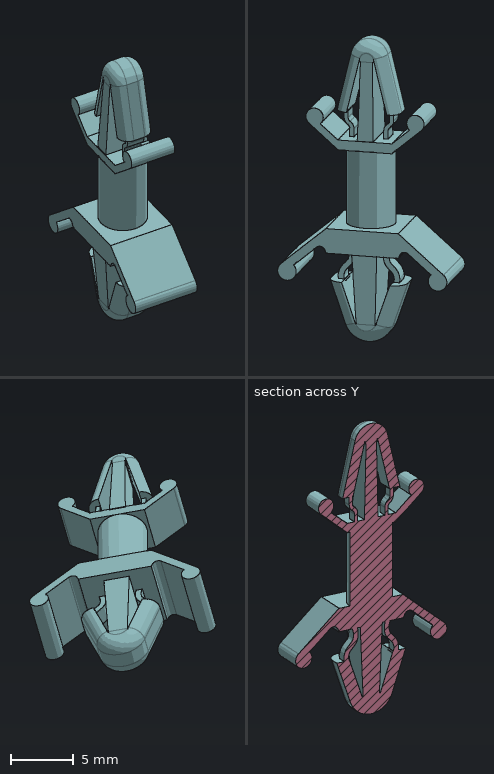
import cadquery as cq
import math

total_height = 25.1
lower_plate_bottom = 7.68
lower_plate_top = 9.75
upper_plate_bottom = 16.1
upper_plate_top = 16.92

post_diameter = 4.0
upper_depth = post_diameter
lower_depth = 5.7

upper_flat_half = 2.23
upper_arm_thickness = 0.63
upper_tip_radius = 0.73
upper_tip_x = 4.17
upper_tip_z = 18.7

lower_flat_half = 2.99
lower_arm_thickness = 0.73
lower_tip_radius = 0.78
lower_tip_x = 6.22
lower_tip_z = 5.97
notch_wall_angle = math.radians(67)
notch_radius = 0.43

overlap = 0.13


def tangent_slope(start, centre, radius):
    """Slope angle of the line from start that passes outside a circle and touches it."""
    run = centre[0] - start[0]
    rise = abs(centre[1] - start[1])
    return math.atan2(rise, run) - math.asin(radius / math.hypot(run, rise))


def extrude_along_y(profile, depth):
    return profile.extrude(depth / 2, both=True)


def with_mirror(half):
    return half.union(half.mirror("YZ"))


def round_tip(x, z, radius, depth):
    return extrude_along_y(cq.Workplane("XZ").center(x, z).circle(radius), depth)


def upper_plate():
    corner = (upper_flat_half, upper_plate_bottom)
    centre = (upper_tip_x, upper_tip_z)
    slope = tangent_slope(corner, centre, upper_tip_radius)
    touch_x = upper_tip_x + upper_tip_radius * math.sin(slope)
    touch_z = upper_tip_z - upper_tip_radius * math.cos(slope)
    inner_x = touch_x - upper_arm_thickness * math.sin(slope)
    inner_z = touch_z + upper_arm_thickness * math.cos(slope)
    outline = (
        cq.Workplane("XZ")
        .moveTo(0, upper_plate_bottom)
        .lineTo(*corner)
        .lineTo(touch_x, touch_z)
        .lineTo(inner_x, inner_z)
        .lineTo(upper_flat_half, upper_plate_top)
        .lineTo(0, upper_plate_top)
        .close()
    )
    half = extrude_along_y(outline, upper_depth)
    half = half.union(round_tip(*centre, upper_tip_radius, upper_depth))
    return with_mirror(half)


def lower_plate():
    corner = (lower_flat_half, lower_plate_top)
    centre = (lower_tip_x, lower_tip_z)
    slope = tangent_slope(corner, centre, lower_tip_radius)
    touch_x = lower_tip_x + lower_tip_radius * math.sin(slope)
    touch_z = lower_tip_z + lower_tip_radius * math.cos(slope)
    inner_x = touch_x - lower_arm_thickness * math.sin(slope)
    inner_z = touch_z - lower_arm_thickness * math.cos(slope)

    arm_z_at_wall_foot = inner_z + (inner_x - lower_flat_half) * math.tan(slope)
    wall_run = (arm_z_at_wall_foot - lower_plate_bottom) / (math.tan(notch_wall_angle) + math.tan(slope))
    notch_x = lower_flat_half + wall_run
    notch_z = lower_plate_bottom + wall_run * math.tan(notch_wall_angle)

    outline = (
        cq.Workplane("XZ")
        .moveTo(0, lower_plate_top)
        .lineTo(*corner)
        .lineTo(touch_x, touch_z)
        .lineTo(inner_x, inner_z)
        .lineTo(notch_x, notch_z)
        .lineTo(lower_flat_half, lower_plate_bottom)
        .lineTo(0, lower_plate_bottom)
        .close()
    )
    half = extrude_along_y(outline, lower_depth)
    notch_edge = cq.selectors.NearestToPointSelector((notch_x, 0, notch_z))
    half = half.edges("|Y").edges(notch_edge).fillet(notch_radius)
    half = half.union(round_tip(*centre, lower_tip_radius, lower_depth))
    return with_mirror(half)



def barbed_arch(height, radius, thickness, half_depth, angle, leg_end):
    """Round nose with two spreading legs, cut level at leg_end; outer corners fully rounded."""
    centre_z = height - radius
    inner_radius = radius - thickness
    bend_x = inner_radius * math.cos(angle)
    bend_z = centre_z + inner_radius * math.sin(angle)
    start_z = leg_end - thickness
    start_x = bend_x + (bend_z - start_z) * math.tan(angle)
    path = (
        cq.Workplane("XZ")
        .moveTo(-start_x, start_z)
        .lineTo(-bend_x, bend_z)
        .threePointArc((0, centre_z + inner_radius), (bend_x, bend_z))
        .lineTo(start_x, start_z)
    )
    section_plane = cq.Plane(
        origin=(-start_x, 0, start_z),
        xDir=(0, 1, 0),
        normal=(math.sin(angle), 0, math.cos(angle)),
    )
    flat_half = half_depth - thickness
    mid_y = flat_half + thickness * math.sqrt(0.5)
    mid_out = thickness * math.sqrt(0.5)
    arch = (
        cq.Workplane(section_plane)
        .moveTo(-half_depth, 0)
        .lineTo(half_depth, 0)
        .threePointArc((mid_y, mid_out), (flat_half, thickness))
        .lineTo(-flat_half, thickness)
        .threePointArc((-mid_y, mid_out), (-half_depth, 0))
        .close()
        .sweep(path)
    )
    keep_size = 2 * height
    keep = cq.Workplane("XY", origin=(0, 0, leg_end))
    keep = keep.rect(keep_size, keep_size).extrude(keep_size)
    return arch.intersect(keep)


def arch_fill(height, radius, thickness, half_depth, fill_bottom):
    """Solid core closing the inside of the nose above fill_bottom."""
    inner_radius = radius - thickness
    core = cq.Workplane("XZ").center(0, height - radius).circle(inner_radius)
    core = extrude_along_y(core, 2 * half_depth)
    inner_width = 2 * inner_radius
    block = cq.Workplane("XY", origin=(0, 0, fill_bottom))
    block = block.rect(inner_width, 2 * half_depth).extrude(height - fill_bottom)
    return core.intersect(block)


def tapered_web(base_size, top_size, top_z):
    return (
        cq.Workplane("XY")
        .rect(*base_size)
        .workplane(offset=top_z)
        .rect(*top_size)
        .loft()
    )


def spring_strips(path, start, thickness, width):
    """Bent strip on each side, swept upward from start along a path in the XZ plane."""
    strip = cq.Workplane("XY", origin=(start[0], 0, start[1])).rect(thickness, width).sweep(path)
    return with_mirror(strip)


def upper_clip():
    height = total_height - upper_plate_top
    nose_radius = 1.55
    thickness = 0.98
    half_depth = 1.48
    leg_angle = math.radians(13.5)
    leg_end = 2.18
    fill_bottom = 6.48
    web_base = (1.3, 3.87)
    web_top = (1.0, 2 * half_depth)
    clip = barbed_arch(height, nose_radius, thickness, half_depth, leg_angle, leg_end)
    clip = clip.union(arch_fill(height, nose_radius, thickness, half_depth, fill_bottom))
    clip = clip.union(tapered_web(web_base, web_top, fill_bottom))

    strip_thickness = 0.35
    strip_width = 1.5
    strip_foot_x = 1.4
    strip_head_x = 1.88
    bend_start = 0.68
    bend_end = 1.55
    start = (strip_foot_x, -overlap)
    bend_middle = ((strip_foot_x + strip_head_x) / 2, (bend_start + bend_end) / 2)
    path = (
        cq.Workplane("XZ")
        .moveTo(*start)
        .lineTo(strip_foot_x, bend_start)
        .tangentArcPoint(bend_middle, relative=False)
        .tangentArcPoint((strip_head_x, bend_end), relative=False)
        .lineTo(strip_head_x, leg_end + overlap)
    )
    return clip.union(spring_strips(path, start, strip_thickness, strip_width))


def lower_clip():
    height = lower_plate_bottom
    nose_radius = 2.05
    thickness = 1.15
    half_depth = 1.78
    leg_angle = math.radians(19)
    leg_end = 2.64
    fill_bottom = 6.0
    web_base = (2.08, 4.47)
    web_top = (1.55, 2 * half_depth)
    clip = barbed_arch(height, nose_radius, thickness, half_depth, leg_angle, leg_end)
    clip = clip.union(arch_fill(height, nose_radius, thickness, half_depth, fill_bottom))
    clip = clip.union(tapered_web(web_base, web_top, fill_bottom))

    strip_thickness = 0.55
    strip_width = 1.4
    start = (1.58, -overlap)
    bends = [(1.43, 0.53), (1.55, 1.08), (2.13, 1.78), (2.28, 2.18)]
    head = (2.2, leg_end + overlap)
    path = cq.Workplane("XZ").spline([start, *bends, head])
    return clip.union(spring_strips(path, start, strip_thickness, strip_width))


post = (
    cq.Workplane("XY", origin=(0, 0, lower_plate_top - overlap))
    .circle(post_diameter / 2)
    .extrude(upper_plate_bottom - lower_plate_top + 2 * overlap)
)

result = (
    post.union(upper_plate())
    .union(lower_plate())
    .union(upper_clip().translate((0, 0, upper_plate_top)))
    .union(lower_clip().rotate((0, 0, 0), (0, 1, 0), 180).translate((0, 0, lower_plate_bottom)))
)